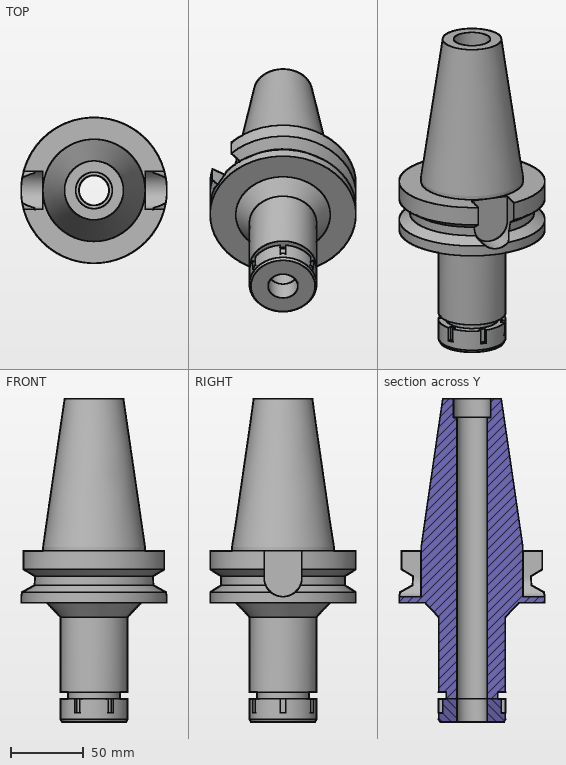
import cadquery as cq

total_height = 221.8
through_bore_radius = 10.2

gauge_radius = 35.0
taper_length = 101.8
taper_ratio = 7 / 24
taper_tip_radius = gauge_radius - taper_length * taper_ratio / 2
collar_height = 2.7
pilot_bore_radius = 12.53
pilot_bore_depth = 12.9

flange_radius = 50.02
flange_thickness = 35.5
upper_rim_height = 12.6
groove_radius = 42.5
groove_flank_height = 4.7
groove_floor_height = 6.2

key_slot_width = 26.0
key_slot_depth = 31.3
key_floor_offset = gauge_radius

nose_radius = 23.0
nose_cone_top_radius = 32.4
nose_cone_height = 9.8
neck_radius = 18.0
neck_height = 4.7

nut_height = 16.0
nut_chamfer_height = 2.0
nut_chamfer_width = 1.0
wrench_slot_count = 6
wrench_slot_width = 3.8
wrench_slot_length = 9.5
wrench_slot_floor_radius = 20.2

gauge_z = total_height - taper_length
flange_top_z = gauge_z - collar_height
upper_rim_bottom_z = flange_top_z - upper_rim_height
groove_top_z = upper_rim_bottom_z - groove_flank_height
groove_bottom_z = groove_top_z - groove_floor_height
lower_rim_top_z = groove_bottom_z - groove_flank_height
flange_bottom_z = flange_top_z - flange_thickness
nose_top_z = flange_bottom_z - nose_cone_height
neck_bottom_z = nut_height
neck_top_z = neck_bottom_z + neck_height


def revolve_profile(points):
    """Turn a closed (radius, z) outline about the Z axis."""
    return cq.Workplane("XZ").polyline(points).close().revolve(360, (0, 0), (0, 1))


def key_slot_cutter():
    """Round-bottomed cutter for the slot on the +X side."""
    end_radius = key_slot_width / 2
    end_center_z = flange_top_z - key_slot_depth + end_radius
    return (
        cq.Workplane("YZ", origin=(key_floor_offset, 0, 0))
        .moveTo(-end_radius, flange_top_z)
        .lineTo(-end_radius, end_center_z)
        .threePointArc((0, end_center_z - end_radius), (end_radius, end_center_z))
        .lineTo(end_radius, flange_top_z)
        .close()
        .extrude(flange_radius)
    )


def make_holder():
    """Taper shank, flange, nose and neck in one piece with a stepped bore."""
    pilot_floor_z = total_height - pilot_bore_depth
    holder = revolve_profile([
        (through_bore_radius, neck_bottom_z),
        (neck_radius, neck_bottom_z),
        (neck_radius, neck_top_z),
        (nose_radius, neck_top_z),
        (nose_radius, nose_top_z),
        (nose_cone_top_radius, flange_bottom_z),
        (flange_radius, flange_bottom_z),
        (flange_radius, lower_rim_top_z),
        (groove_radius, groove_bottom_z),
        (groove_radius, groove_top_z),
        (flange_radius, upper_rim_bottom_z),
        (flange_radius, flange_top_z),
        (gauge_radius, flange_top_z),
        (gauge_radius, gauge_z),
        (taper_tip_radius, total_height),
        (pilot_bore_radius, total_height),
        (pilot_bore_radius, pilot_floor_z),
        (through_bore_radius, pilot_floor_z),
    ])
    for angle in (0, 180):
        holder = holder.cut(key_slot_cutter().rotate((0, 0, 0), (0, 0, 1), angle))
    return holder


def wrench_slot_cutter(angle):
    """Flat-floored cutter for one slot in the nut's outer wall, open at the top."""
    return (
        cq.Workplane("XY")
        .box(nose_radius, wrench_slot_width, wrench_slot_length, centered=(False, True, False))
        .translate((wrench_slot_floor_radius, 0, nut_height - wrench_slot_length))
        .rotate((0, 0, 0), (0, 0, 1), angle)
    )


def make_nut():
    """Chamfered clamping nut with wrench slots around its upper edge."""
    nut = revolve_profile([
        (through_bore_radius, 0),
        (nose_radius - nut_chamfer_width, 0),
        (nose_radius, nut_chamfer_height),
        (nose_radius, nut_height),
        (through_bore_radius, nut_height),
    ])
    for index in range(wrench_slot_count):
        nut = nut.cut(wrench_slot_cutter(index * 360 / wrench_slot_count))
    return nut


holder = make_holder()
nut = make_nut()

result = cq.Compound.makeCompound([holder.val(), nut.val()])